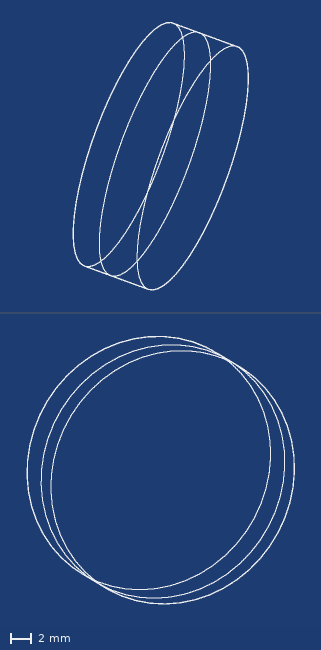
import cadquery as cq

diameter = 25.4
front_sag = 1.7
front_edge = 2.85
rear_edge = 4.11
rear_sag = 0.85

radius = diameter / 2


def lens_element(edge, sag, direction):
    """Solid plano-convex lens with its flat face at X = 0, bulging toward direction * X."""
    rim_x = direction * edge
    apex_x = direction * (edge + sag)
    sphere_radius = (radius**2 + sag**2) / (2 * sag)
    mid_height = radius / 2
    mid_drop = sphere_radius - (sphere_radius**2 - mid_height**2) ** 0.5
    mid_x = apex_x - direction * mid_drop
    return (
        cq.Workplane("XZ")
        .moveTo(0, 0)
        .lineTo(0, radius)
        .lineTo(rim_x, radius)
        .threePointArc((mid_x, mid_height), (apex_x, 0))
        .close()
        .revolve(360, (0, 0, 0), (1, 0, 0))
    )


front_element = lens_element(front_edge, front_sag, -1)
rear_element = lens_element(rear_edge, rear_sag, 1)

result = cq.Compound.makeCompound([front_element.val(), rear_element.val()])